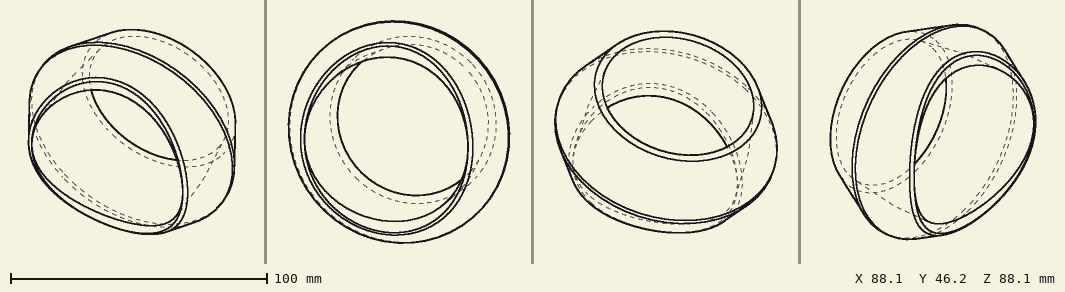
import cadquery as cq
import math

total_depth = 46.2
rim_radius = 44.05
rim_start = 23.1
rim_end = 24.9
taper = math.tan(math.radians(25))
back_radius = rim_radius - rim_start * taper

bore_back_radius = 30.1
bore_radius = 32.7
cone_depth = 22.5

land_half_x = 32.8
land_half_z = 37.2
land_crest_depth = 38.2

outer_crest_depth = 37.2
outer_saddle_radius = 76.6

curve_points = 48

land_drop = total_depth - land_crest_depth
land_saddle_radius = (land_half_x**2 + land_drop**2) / (2 * land_drop)


def ring_point(radius, angle, depth):
    """Point around the ring axis, with the angle running from -Z toward +X."""
    return cq.Vector(radius * math.sin(angle), -depth, -radius * math.cos(angle))


def land_point(radius, angle):
    """Point of the land's saddle cylinder at a given distance from the ring axis."""
    x = radius * math.sin(angle)
    depth = land_crest_depth + land_saddle_radius - math.sqrt(land_saddle_radius**2 - x**2)
    return ring_point(radius, angle, depth)


def oval_point(angle):
    """Point of the land's outer edge, an ellipse when seen along the ring axis."""
    radius = 1 / math.hypot(math.sin(angle) / land_half_x, math.cos(angle) / land_half_z)
    return land_point(radius, angle)


def bore_mouth_point(angle):
    """Point where the cylindrical bore meets the land."""
    return land_point(bore_radius, angle)


def outer_point(angle):
    """Point where the front outer cone meets the outer saddle cylinder."""
    offset = rim_end + rim_radius / taper - outer_crest_depth - outer_saddle_radius
    a = math.sin(angle)**2 + 1 / taper**2
    b = -2 * offset / taper
    c = offset**2 - outer_saddle_radius**2
    radius = (-b + math.sqrt(b**2 - 4 * a * c)) / (2 * a)
    depth = rim_end + (rim_radius - radius) / taper
    return ring_point(radius, angle, depth)


def circle_edge(radius, depth):
    return cq.Edge.makeCircle(radius, cq.Vector(0, -depth, 0), cq.Vector(0, -1, 0))


def closed_curve(point_at):
    """Smooth closed edge, parametrised by the angle around the ring axis."""
    angles = [2 * math.pi * i / curve_points for i in range(curve_points + 1)]
    points = [point_at(angle) for angle in angles[:-1]]
    return cq.Edge.makeSpline(points, periodic=True, parameters=angles)


section_edges = [
    circle_edge(back_radius, 0),
    circle_edge(rim_radius, rim_start),
    circle_edge(rim_radius, rim_end),
    closed_curve(outer_point),
    closed_curve(oval_point),
    closed_curve(bore_mouth_point),
    circle_edge(bore_radius, cone_depth),
    circle_edge(bore_back_radius, 0),
]
faces = []
for i, edge in enumerate(section_edges):
    next_edge = section_edges[(i + 1) % len(section_edges)]
    faces.append(cq.Face.makeRuledSurface(edge, next_edge))

ring = cq.Solid.makeSolid(cq.Shell.makeShell(faces))
result = cq.Workplane("XY").newObject([ring])